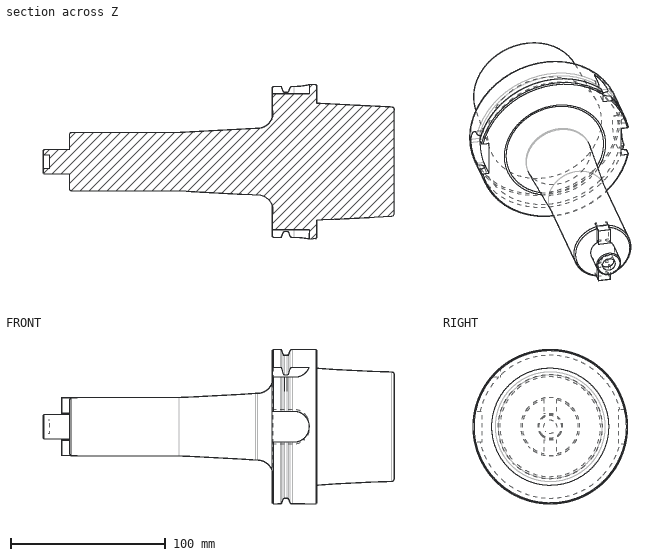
import cadquery as cq
import math


taper_length = 50.0
taper_diameter = 75.8
taper_ratio = 0.1
taper_end_radius = 2.0

flange_diameter = 100.0
flange_width = 29.0
flange_chamfer = 0.8

groove_center = -20.1
groove_depth = 3.7
groove_floor_width = 3.0
groove_mouth_width = 5.9
groove_floor_radius = 1.0
groove_front_rim_radius = 0.7
groove_back_rim_radius = 1.7

shaft_diameter = 38.0
shaft_face_x = -160.0
shaft_chamfer = 1.0
cone_start_x = -89.2
cone_end_x = -39.8
neck_diameter = 43.3
neck_fillet_start_x = -38.5
neck_fillet_radius = 10.0
neck_fillet_end_diameter = 64.8
undercut_diameter = 67.4

pilot_diameter = 16.0
pilot_length = 17.0
pilot_chamfer = 0.7
bore_diameter = 8.5
bore_depth = 4.0

key_width = 7.8
key_height = 5.0
key_seat_depth = 5.0
key_inner_offset = 8.7
key_outer_offset = 18.75

slot_end_radius = 10.0
keyway_end_x = -5.0
keyway_floor_offset = 44.0
back_keyway_end_flat = 2.4
notch_end_x = -4.4
notch_offset = 32.0

flange_radius = flange_diameter / 2
flange_face_x = -flange_width
flange_middle_x = flange_face_x / 2
pilot_end_x = shaft_face_x - pilot_length


def revolve_about_x(profile):
    return profile.close().revolve(360, (0, 0, 0), (1, 0, 0))


def make_shaft():
    """Pilot, shaft and conical neck, running on into the middle of the flange."""
    pilot_radius = pilot_diameter / 2
    shaft_radius = shaft_diameter / 2
    neck_radius = neck_diameter / 2
    profile = (
        cq.Workplane("XY")
        .moveTo(pilot_end_x, 0)
        .lineTo(pilot_end_x, pilot_radius - pilot_chamfer)
        .lineTo(pilot_end_x + pilot_chamfer, pilot_radius)
        .lineTo(shaft_face_x, pilot_radius)
        .lineTo(shaft_face_x, shaft_radius - shaft_chamfer)
        .lineTo(shaft_face_x + shaft_chamfer, shaft_radius)
        .lineTo(cone_start_x, shaft_radius)
        .lineTo(cone_end_x, neck_radius)
        .lineTo(flange_middle_x, neck_radius)
        .lineTo(flange_middle_x, 0)
    )
    return revolve_about_x(profile)


def fillet_point(radius):
    """Point of the neck fillet arc at the given distance from the axis."""
    center_r = neck_diameter / 2 + neck_fillet_radius
    reach = math.sqrt(neck_fillet_radius**2 - (radius - center_r) ** 2)
    return (neck_fillet_start_x + reach, radius)


def make_neck_fillet():
    """Solid of revolution under the concave fillet, from the neck to the undercut in the flange face."""
    neck_radius = neck_diameter / 2
    end_radius = neck_fillet_end_diameter / 2
    profile = (
        cq.Workplane("XY")
        .moveTo(neck_fillet_start_x, 0)
        .lineTo(neck_fillet_start_x, neck_radius)
        .threePointArc(fillet_point(neck_radius + neck_fillet_radius / 2), fillet_point(end_radius))
        .lineTo(flange_middle_x, end_radius)
        .lineTo(flange_middle_x, 0)
    )
    return revolve_about_x(profile)


def make_undercut():
    """Shallow recess in the flange face that the neck fillet runs into."""
    end_radius = neck_fillet_end_diameter / 2
    profile = (
        cq.Workplane("XY")
        .moveTo(flange_face_x, 0)
        .lineTo(flange_face_x, undercut_diameter / 2)
        .lineTo(*fillet_point(end_radius))
        .lineTo(flange_middle_x, end_radius)
        .lineTo(flange_middle_x, 0)
    )
    return revolve_about_x(profile)


def edges_between(flange, start_x, end_x):
    """Circular flange edges lying between two positions along the axis."""
    reach = flange_diameter
    box = cq.selectors.BoxSelector((start_x, -reach, -reach), (end_x, reach, reach), boundingbox=True)
    return flange.edges(box)


def make_flange():
    """Chamfered disc with a V-groove whose floor corners and rims are rounded."""
    flange = (
        cq.Workplane("YZ", origin=(flange_face_x, 0, 0))
        .circle(flange_radius)
        .extrude(flange_width)
        .edges()
        .chamfer(flange_chamfer)
    )
    floor_radius = flange_radius - groove_depth
    half_floor = groove_floor_width / 2
    half_mouth = groove_mouth_width / 2
    groove = revolve_about_x(
        cq.Workplane("XY")
        .moveTo(groove_center - half_floor, floor_radius)
        .lineTo(groove_center + half_floor, floor_radius)
        .lineTo(groove_center + half_mouth, flange_radius)
        .lineTo(groove_center - half_mouth, flange_radius)
    )
    flange = flange.cut(groove)
    front_wall_x = groove_center - (half_floor + half_mouth) / 2
    back_wall_x = groove_center + (half_floor + half_mouth) / 2
    front_rim = edges_between(flange, groove_center - groove_mouth_width, front_wall_x)
    flange = front_rim.fillet(groove_front_rim_radius)
    back_rim = edges_between(flange, back_wall_x, groove_center + groove_mouth_width)
    flange = back_rim.fillet(groove_back_rim_radius)
    floor_edges = edges_between(flange, front_wall_x, back_wall_x)
    floor_edges = floor_edges.edges(cq.selectors.RadiusNthSelector(0))
    return floor_edges.fillet(groove_floor_radius)


def make_taper():
    root_radius = taper_diameter / 2
    end_radius = root_radius - taper_ratio * taper_length / 2
    taper = revolve_about_x(
        cq.Workplane("XY")
        .moveTo(flange_middle_x, 0)
        .lineTo(flange_middle_x, root_radius)
        .lineTo(0, root_radius)
        .lineTo(taper_length, end_radius)
        .lineTo(taper_length, 0)
    )
    return taper.faces(">X").edges().fillet(taper_end_radius)


def make_bore():
    return (
        cq.Workplane("YZ", origin=(pilot_end_x, 0, 0))
        .circle(bore_diameter / 2)
        .extrude(bore_depth)
    )


def make_keys():
    """Both drive keys, one above and one below the pilot."""
    length = key_height + key_seat_depth
    depth = key_outer_offset - key_inner_offset
    center_z = (key_outer_offset + key_inner_offset) / 2
    key = cq.Workplane("XY").box(length, key_width, depth, centered=(False, True, True))
    key = key.translate((shaft_face_x - key_height, 0, center_z))
    return key.union(key.mirror("XY"))


def make_slot_box(width, center_z, floor_y, outward, end_x):
    """Block along X from the flange front to end_x, reaching from floor_y past the rim."""
    length = end_x - flange_face_x
    block = cq.Workplane("XY").box(length, flange_radius, width, centered=(False, True, True))
    return block.translate((flange_face_x, floor_y + outward * flange_radius / 2, center_z))


def make_round_slot(center_z, floor_y, outward, end_x):
    """Slot along X with a full-round end; outward is the Y direction it opens to."""
    arc_center_x = end_x - slot_end_radius
    slot = make_slot_box(2 * slot_end_radius, center_z, floor_y, outward, arc_center_x)
    round_end = cq.Solid.makeCylinder(
        slot_end_radius,
        flange_radius,
        cq.Vector(arc_center_x, floor_y, center_z),
        cq.Vector(0, outward, 0),
    )
    return slot.union(cq.Workplane(round_end))


def make_back_keyway():
    """Wider keyway on +Y: two round slots side by side with a flat end between them."""
    floor_y = keyway_floor_offset
    half_flat = back_keyway_end_flat / 2
    keyway = make_slot_box(back_keyway_end_flat, 0, floor_y, 1, keyway_end_x)
    for center_z in (-half_flat, half_flat):
        keyway = keyway.union(make_round_slot(center_z, floor_y, 1, keyway_end_x))
    return keyway


def make_rim_slots():
    front_keyway = make_round_slot(0, -keyway_floor_offset, -1, keyway_end_x)
    notch = make_round_slot(notch_offset + slot_end_radius, -notch_offset, -1, notch_end_x)
    return front_keyway.union(make_back_keyway()).union(notch)


body = make_flange().cut(make_undercut())
body = body.union(make_neck_fillet()).union(make_shaft()).union(make_taper())
body = body.cut(make_bore()).cut(make_rim_slots())
result = body.union(make_keys())